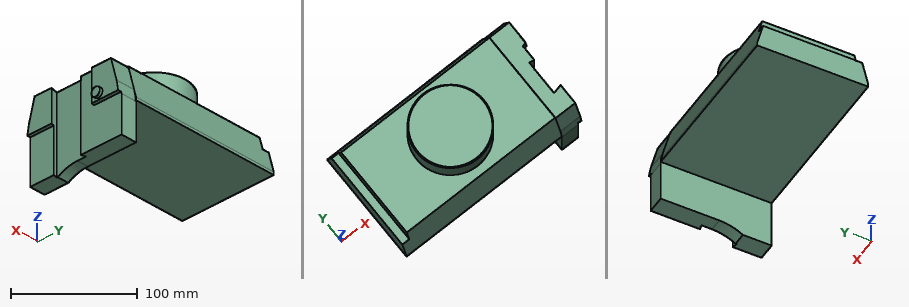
import math

import cadquery as cq

total_height = 104.0
body_top = 80.0
body_bottom = 45.0
skirt_top = 48.0
front_step_z = 68.0

body_length = 156.5
front_step_length = 7.0
leg_thickness = 16.5
end_block_thickness = 20.0
leg_back = body_length + leg_thickness
block_back = body_length + end_block_thickness

half_width = 50.0
body_top_half = 41.5

lower_slope = math.tan(math.radians(10))
upper_slope = math.tan(math.radians(15))
block_top = 78.7
block_bend_z = 55.7
block_bottom = 44.0
pad_bottom = 45.7
block_bend_half = half_width - (block_bend_z - block_bottom) * lower_slope
block_top_half = block_bend_half - (block_top - block_bend_z) * upper_slope

leg_raise = 6.0
arc_start_y = -2.5
arc_end_y = -24.0

notch_web = 12.0
notch_floor_x = body_length + notch_web
notch_y_max = 6.5
notch_y_min = -25.0
notch_slope = math.tan(math.radians(13))
recess_y_max = 20.0

knob_diameter = 68.0
knob_x = 84.0
knob_edge_chamfer = 1.0
pin_diameter = 9.3
pin_length = 3.0
pin_y = 28.0
pin_z = 52.2


def symmetric_prism(side, x_start, length):
    """Extrude along X the outline given by its +Y side (y, z) points and their mirror image."""
    mirrored = [(-y, z) for y, z in reversed(side)]
    outline = cq.Workplane("YZ").workplane(offset=x_start).polyline(side + mirrored).close()
    return outline.extrude(length)


def make_body():
    side = [(half_width, body_bottom), (half_width, skirt_top), (body_top_half, body_top)]
    body = symmetric_prism(side, 0, body_length)
    step = cq.Workplane("XY").box(
        front_step_length, 2 * half_width, body_top - front_step_z, centered=(False, True, False)
    ).translate((0, 0, front_step_z))
    return body.cut(step)


def make_end_block():
    side = [
        (half_width, block_bottom),
        (block_bend_half, block_bend_z),
        (block_top_half, block_top),
    ]
    block = symmetric_prism(side, body_length, end_block_thickness)
    underside = cq.Workplane("XY").box(
        block_back - leg_back, 2 * half_width, pad_bottom - block_bottom, centered=(False, True, False)
    ).translate((leg_back, 0, block_bottom))
    return block.cut(underside)


def make_leg():
    run = arc_start_y - arc_end_y
    radius = (run**2 + leg_raise**2) / (2 * leg_raise)
    half_angle = math.asin(run / radius) / 2
    arc_middle = (
        arc_start_y - radius * math.sin(half_angle),
        leg_raise - radius * (1 - math.cos(half_angle)),
    )
    return (
        cq.Workplane("YZ")
        .workplane(offset=body_length)
        .moveTo(half_width, block_bottom)
        .lineTo(half_width, leg_raise)
        .lineTo(arc_start_y, leg_raise)
        .threePointArc(arc_middle, (arc_end_y, 0))
        .lineTo(-half_width, 0)
        .lineTo(-half_width, block_bottom)
        .close()
        .extrude(leg_thickness)
    )


def make_back_notch():
    """Dovetail notch, narrower at its mouth, with a shallow recess on its +Y side."""
    mouth_y_min = notch_y_min + (block_back - notch_floor_x) * notch_slope
    recess_edge_y = notch_y_max - (leg_back - notch_floor_x) * notch_slope
    recess_mouth_y = recess_y_max + (block_back - leg_back) * notch_slope
    outline = [
        (notch_floor_x, notch_y_min),
        (block_back, mouth_y_min),
        (block_back, recess_mouth_y),
        (leg_back, recess_y_max),
        (leg_back, recess_edge_y),
        (notch_floor_x, notch_y_max),
    ]
    return cq.Workplane("XY").polyline(outline).close().extrude(block_top)


def make_knob():
    return (
        cq.Workplane("XY")
        .workplane(offset=body_top)
        .center(knob_x, 0)
        .circle(knob_diameter / 2)
        .extrude(total_height - body_top)
        .faces(">Z")
        .edges()
        .chamfer(knob_edge_chamfer)
    )


def make_pin():
    return (
        cq.Workplane("YZ")
        .workplane(offset=block_back)
        .center(pin_y, pin_z)
        .circle(pin_diameter / 2)
        .extrude(pin_length)
    )


end_bracket = make_end_block().union(make_leg()).cut(make_back_notch())
result = make_body().union(end_bracket).union(make_knob()).union(make_pin())